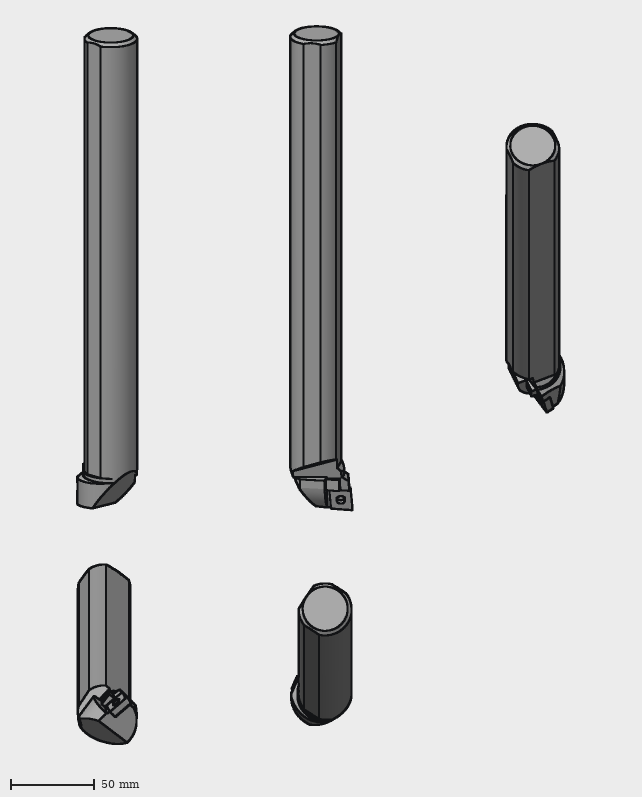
import cadquery as cq
import math


total_length = 301.2
total_width = 38.0
shank_radius = 16.0
side_flat = 15.0
back_flat = 13.5
end_face_radius = 13.5
end_chamfer_height = 2.0

neck_offset = 0.5
neck_reach = shank_radius + neck_offset
shoulder_top = 28.0
neck_top = 24.7
neck_bottom = 22.0
head_top_slope = 0.7

head_low_x = -1.8
head_low_y = -18.0
head_left_radius = 20.5
head_right_radius = 17.0

relief_top = 27.5
relief_bottom_x = 0.3
relief_bottom_z = 4.0

insert_edge = 13.0
insert_angle = 80.0
insert_thickness = 4.8
insert_hole = 5.0
insert_corner_radius = 0.5
edge_lean = 5.0
radial_rake = math.tan(math.radians(11.0))
axial_rake = math.tan(math.radians(7.0))
tip_overhang = 1.0
tip = (shank_radius - total_width, 0, 0)

gullet_roof_z = 26.5
gullet_roof_rise_y = 0.4
gullet_roof_drop_x = 0.35
ramp_start_x = -7.2
ramp_side_y = 12.7
ramp_knee_z = 16.5
ramp_middle = (9.0, 7.5)
ledge_start_x = -15.0
ledge_side_y = 7.2
ledge_bottom = 14.2
ledge_top = 21.0

reach = 90.5

rake_plane = cq.Plane(origin=tip, xDir=(1, radial_rake, 0), normal=(radial_rake, -1, axial_rake))


def edge_directions():
    """Directions of the side and bottom insert edges in the rake frame."""
    side = math.radians(90 - edge_lean)
    bottom = side - math.radians(insert_angle)
    return (math.cos(side), math.sin(side)), (math.cos(bottom), math.sin(bottom))


def corner_outline(start, length):
    """Rhombus spanned from a start point by the two insert edge directions."""
    side, bottom = edge_directions()
    x, y = start
    return [
        (x, y),
        (x + length * bottom[0], y + length * bottom[1]),
        (x + length * (bottom[0] + side[0]), y + length * (bottom[1] + side[1])),
        (x + length * side[0], y + length * side[1]),
    ]


def insert_blank():
    """Insert without its hole; it also forms the seat in the holder."""
    outline = cq.Workplane(rake_plane).polyline(corner_outline((0, 0), insert_edge)).close()
    corners = cq.selectors.ParallelDirSelector(rake_plane.zDir)
    return outline.extrude(insert_thickness).edges(corners).fillet(insert_corner_radius)


def make_insert():
    side, bottom = edge_directions()
    middle = [insert_edge * (s + b) / 2 for s, b in zip(side, bottom)]
    hole = cq.Workplane(rake_plane).center(*middle).circle(insert_hole / 2).extrude(insert_thickness)
    return insert_blank().cut(hole)


def make_shank():
    profile = [
        (0, neck_bottom),
        (shank_radius, neck_bottom),
        (shank_radius, total_length - end_chamfer_height),
        (end_face_radius, total_length),
        (0, total_length),
    ]
    bar = cq.Workplane("XZ").polyline(profile).close().revolve(360, (0, 0), (0, 1))
    flats = cq.Workplane("XY").box(
        back_flat + shank_radius, 2 * side_flat, total_length, centered=(False, True, False)
    ).translate((-back_flat, 0, 0))
    return bar.intersect(flats)


def make_neck():
    """Collar of the shank's radius, set off centre so that it shows on the -X and -Y sides."""
    base = cq.Workplane("XY", origin=(-neck_offset, -neck_offset, neck_bottom))
    collar = base.circle(shank_radius).extrude(neck_top - neck_bottom)

    shoulder_run = neck_reach - back_flat
    profile = [
        (-back_flat, neck_bottom),
        (-back_flat, shoulder_top),
        (-neck_reach, shoulder_top - shoulder_run),
        (-neck_reach, neck_bottom),
    ]
    shoulder = cq.Workplane("XZ").polyline(profile).close().extrude(neck_reach, both=True)
    round_limit = base.circle(shank_radius).extrude(shoulder_top - neck_bottom)
    return collar.union(shoulder.intersect(round_limit))


def head_outline():
    """Plan of the head: quarter round on the left, half round on the right, square at -X, +Y."""
    left_y = head_low_y + head_left_radius
    right_y = head_low_y + head_right_radius
    far_y = right_y + head_right_radius
    diagonal = math.sqrt(0.5)
    return (
        cq.Workplane("XY")
        .moveTo(head_low_x - head_left_radius, left_y)
        .threePointArc(
            (head_low_x - head_left_radius * diagonal, left_y - head_left_radius * diagonal),
            (head_low_x, head_low_y),
        )
        .threePointArc((head_low_x + head_right_radius, right_y), (head_low_x, far_y))
        .lineTo(head_low_x - head_left_radius, far_y)
        .close()
    )


def make_head():
    head = head_outline().extrude(neck_bottom)

    outer = 2 * neck_reach
    cone = [
        (0, 0),
        (outer, 0),
        (outer, neck_bottom - head_top_slope * (outer - neck_reach)),
        (neck_reach, neck_bottom),
        (0, neck_bottom),
    ]
    cone_limit = cq.Workplane("XZ").polyline(cone).close().revolve(360, (0, 0), (0, 1))

    flank_limit = (
        cq.Workplane(rake_plane)
        .polyline(corner_outline((tip_overhang, tip_overhang), reach))
        .close()
        .extrude(reach, both=True)
    )

    side_limit = (
        cq.Workplane("YZ")
        .moveTo(-reach, 0)
        .lineTo(0, 0)
        .threePointArc(ramp_middle, (ramp_side_y, ramp_knee_z))
        .lineTo(ramp_side_y, reach)
        .lineTo(-reach, reach)
        .close()
        .extrude(reach, both=True)
    )
    return head.intersect(cone_limit).intersect(flank_limit).intersect(side_limit)


def relief_cut():
    slope = (relief_top - relief_bottom_z) / (shank_radius - relief_bottom_x)
    start_x = relief_bottom_x - relief_bottom_z / slope
    outline = [(start_x, 0), (start_x + reach, 0), (start_x + reach, slope * reach)]
    return cq.Workplane("XZ").polyline(outline).close().extrude(reach, both=True)


def gullet_cut():
    above_rake = cq.Workplane(rake_plane).rect(2 * reach, 2 * reach).extrude(-reach)
    roof = cq.Plane(
        origin=(0, 0, gullet_roof_z),
        xDir=(1, 0, -gullet_roof_drop_x),
        normal=(gullet_roof_drop_x, -gullet_roof_rise_y, 1),
    )
    below_roof = cq.Workplane(roof).rect(2 * reach, 2 * reach).extrude(-reach)
    ramp = cq.Workplane("XY").box(reach, reach, reach, centered=(False, True, False))
    ramp = ramp.translate((ramp_start_x, 0, neck_bottom - reach))
    ledge = cq.Workplane("XY").box(
        ramp_start_x - ledge_start_x, reach, ledge_top - ledge_bottom, centered=False
    ).translate((ledge_start_x, ledge_side_y - reach, ledge_bottom))
    return above_rake.intersect(below_roof).cut(ramp).cut(ledge)


def make_holder():
    holder = make_shank().union(make_neck()).union(make_head())
    return holder.cut(relief_cut()).cut(gullet_cut()).cut(insert_blank())


holder = make_holder()
insert = make_insert()
result = cq.Compound.makeCompound([*holder.solids().vals(), *insert.solids().vals()])